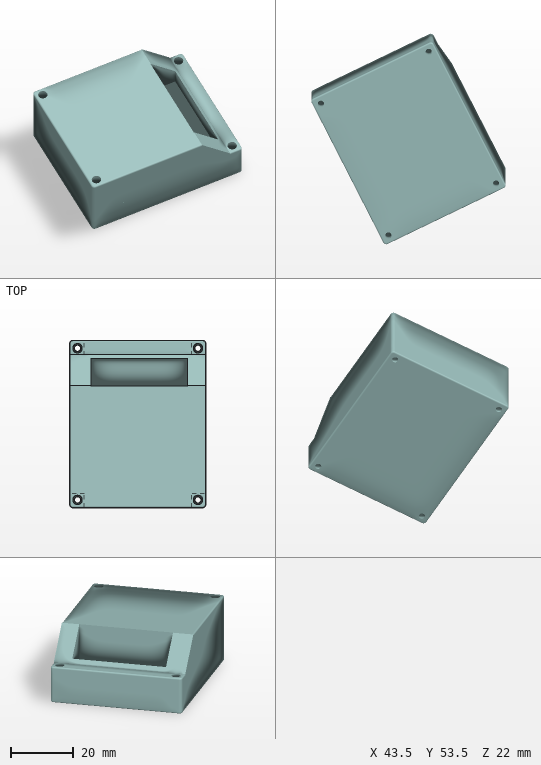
import cadquery as cq

length = 53.5
width = 43.5
height = 22.0
base_height = 8.0
step_height = 12.0
corner_radius = 1.0
edge_radius = 0.5

ledge_depth = 4.5
back_y = length / 2
foot_y = back_y - ledge_depth
crest_y = foot_y - (height - step_height)

window_width = 31.0
window_depth = 8.8
window_offset_x = 0.5
window_back_y = 20.9

leg_size = 4.5
leg_length = 5.05

screw_diameter = 2.0
head_diameter = 3.0
screw_inset = 2.5


def block(front, back, bottom, top):
    """Full-width block between two Y positions and two heights."""
    return cq.Workplane("XY").box(width, back - front, top - bottom).translate(
        (0, (front + back) / 2, (bottom + top) / 2)
    )


def screw_cylinders(diameter, bottom, top):
    """One vertical cylinder at each of the four screw positions."""
    return (
        cq.Workplane("XY", origin=(0, 0, bottom))
        .rect(width - 2 * screw_inset, length - 2 * screw_inset, forConstruction=True)
        .vertices()
        .circle(diameter / 2)
        .extrude(top - bottom)
    )


def make_legs():
    """Four square legs below the cover, rounded like the enclosure corners."""
    outline = block(-back_y, back_y, base_height - leg_length, base_height)
    outline = outline.edges("|Z").fillet(corner_radius)
    squares = (
        cq.Workplane("XY", origin=(0, 0, base_height - leg_length))
        .rect(width - leg_size, length - leg_size, forConstruction=True)
        .vertices()
        .rect(leg_size, leg_size)
        .extrude(leg_length)
    )
    return outline.intersect(squares)


def make_main_block():
    """Tall front part of the cover, rounded everywhere but at the slope."""
    main = block(-back_y, crest_y, base_height, height)
    main = main.edges("|Z and <Y").fillet(corner_radius)
    return main.faces(">Z").edges("not >Y").fillet(edge_radius)


def make_ledge():
    """Low strip at the back of the cover."""
    ledge = block(foot_y, back_y, base_height, step_height)
    ledge = ledge.edges("|Z and >Y").fillet(corner_radius)
    return ledge.faces(">Z").edges("not <Y").fillet(edge_radius)


def make_slope():
    """Sharp-edged middle part that carries the sloped panel."""
    profile = [
        (crest_y, base_height),
        (foot_y, base_height),
        (foot_y, step_height),
        (crest_y, height),
    ]
    return cq.Workplane("YZ").polyline(profile).close().extrude(width / 2, both=True)


def make_window():
    """Opening in the sloped panel, with the base as its floor."""
    return (
        cq.Workplane("XY", origin=(window_offset_x, window_back_y - window_depth / 2, base_height))
        .rect(window_width, window_depth)
        .extrude(height - base_height)
    )


def make_cover():
    cover = make_main_block().union(make_slope()).union(make_ledge())
    cover = cover.cut(make_window())
    cover = cover.union(make_legs(), clean=False)
    cover = cover.cut(screw_cylinders(head_diameter, base_height, height), clean=False)
    return cover.cut(screw_cylinders(screw_diameter, 0, base_height), clean=False)


def make_base():
    base = block(-back_y, back_y, 0, base_height)
    base = base.edges("|Z").fillet(corner_radius)
    base = base.faces("<Z").edges().fillet(edge_radius)
    return base.cut(make_legs()).cut(screw_cylinders(screw_diameter, 0, base_height))


cover = make_cover()
base = make_base()

result = cq.Compound.makeCompound([cover.solids().val(), base.solids().val()])